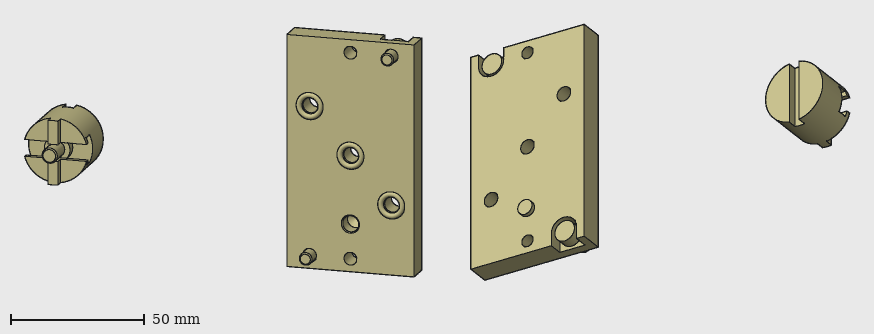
import cadquery as cq
import math

PLATE_WIDTH = 49.6
PLATE_THICKNESS = 10.1
PLATE_HEIGHT = 90.0

COLUMN_OFFSET = 15.9
END_ROW_OFFSET = 40.0
PORT_ROW_OFFSET = 18.0
END_HOLE_DIAMETER = 4.9
PORT_DIAMETER = 6.0

BLIND_HOLE_DROP = 26.5
BLIND_HOLE_DIAMETER = 6.2
BLIND_HOLE_DEPTH = 6.5
BLIND_HOLE_CHAMFER = 0.5
DRILL_POINT_ANGLE = 118
BOSS_DIAMETER = 6.2
BOSS_HEIGHT = 1.9

RING_OUTER_DIAMETER = 10.5
RING_SECTION_DIAMETER = 2.2
RING_PROTRUSION = 0.7

SCREW_DIAMETER = 4.9
SCREW_CLEARANCE_DIAMETER = 5.4
SCREW_HEAD_DIAMETER = 8.5
SCREW_HEAD_HEIGHT = 4.9
SCREW_HEAD_GAP = 0.6
SCREW_PROTRUSION = 5.5
SCREW_TIP_CHAMFER = 0.5
HEAD_SLOT_WIDTH = 11.0
HEAD_SLOT_DEPTH = 6.1

COUPLING_OFFSET = 107.4
COUPLING_DIAMETER = 25.0
COUPLING_GAP = 4.9
COUPLING_LENGTH = 20.1
KEY_WIDTH = 3.9
KEY_HEIGHT = 3.5
KEYWAY_WIDTH = 4.2
KEYWAY_DEPTH = 4.0
T_SLOT_NECK_WIDTH = 6.5
T_SLOT_NECK_DEPTH = 2.0
T_SLOT_HEAD_WIDTH = 10.5
T_SLOT_HEAD_DEPTH = 4.3

BOLT_DIAMETER = 6.0
BOLT_HEAD_DIAMETER = 10.0
BOLT_HEAD_HEIGHT = 3.6
BOLT_TIP = 33.0
BOLT_TIP_CHAMFER = 0.5

END_HOLE_POINTS = [(0, END_ROW_OFFSET), (0, -END_ROW_OFFSET)]
PORT_POINTS = [(-COLUMN_OFFSET, PORT_ROW_OFFSET), (0, 0), (COLUMN_OFFSET, -PORT_ROW_OFFSET)]
SCREW_POINTS = [(COLUMN_OFFSET, END_ROW_OFFSET), (-COLUMN_OFFSET, -END_ROW_OFFSET)]
SLOT_FLOOR = PLATE_THICKNESS - HEAD_SLOT_DEPTH
HEAD_UNDERSIDE = SLOT_FLOOR + SCREW_HEAD_GAP
RING_CENTRE_DEPTH = RING_SECTION_DIAMETER / 2 - RING_PROTRUSION
RING_RECESS_DEPTH = RING_CENTRE_DEPTH + RING_SECTION_DIAMETER / 2
COUPLING_BACK = -COUPLING_GAP
COUPLING_FRONT = COUPLING_BACK - COUPLING_LENGTH
T_SLOT_SEAT = COUPLING_FRONT + T_SLOT_NECK_DEPTH


def cylinder(x, z, diameter, y_start, y_end):
    """Cylinder along Y between two Y positions."""
    return cq.Workplane("XZ", origin=(x, y_end, z)).circle(diameter / 2).extrude(y_end - y_start)


def block(x, z, width, height, y_start, y_end):
    """Rectangular block centred on (x, z) between two Y positions."""
    return cq.Workplane("XZ", origin=(x, y_end, z)).rect(width, height).extrude(y_end - y_start)


def blind_hole(x, z):
    """Chamfered blind hole with a conical bottom, as a tool to cut from the front face."""
    radius = BLIND_HOLE_DIAMETER / 2
    mouth_radius = radius + BLIND_HOLE_CHAMFER
    apex_depth = BLIND_HOLE_DEPTH + radius / math.tan(math.radians(DRILL_POINT_ANGLE / 2))
    profile = [
        (0, 0),
        (mouth_radius, 0),
        (radius, BLIND_HOLE_CHAMFER),
        (radius, BLIND_HOLE_DEPTH),
        (0, apex_depth),
    ]
    tool = cq.Workplane("XY").polyline(profile).close().revolve(360, (0, 0), (0, 1))
    return tool.translate((x, 0, z))


def head_slot(x, z):
    """Slot with a round end that runs from a screw to the nearer Z edge of the plate."""
    edge_z = math.copysign(PLATE_HEIGHT / 2, z)
    round_end = cylinder(x, z, HEAD_SLOT_WIDTH, SLOT_FLOOR, PLATE_THICKNESS)
    open_end = block(x, (z + edge_z) / 2, HEAD_SLOT_WIDTH, abs(edge_z - z), SLOT_FLOOR, PLATE_THICKNESS)
    return round_end.union(open_end)


def make_plate():
    """Plate with its end holes, ports, ring recesses, screw holes, head slots, boss and blind hole."""
    plate = block(0, 0, PLATE_WIDTH, PLATE_HEIGHT, 0, PLATE_THICKNESS)
    for x, z in END_HOLE_POINTS:
        plate = plate.cut(cylinder(x, z, END_HOLE_DIAMETER, 0, PLATE_THICKNESS))
    for x, z in PORT_POINTS:
        plate = plate.cut(cylinder(x, z, PORT_DIAMETER, 0, PLATE_THICKNESS))
        plate = plate.cut(cylinder(x, z, RING_OUTER_DIAMETER, 0, RING_RECESS_DEPTH))
    for x, z in SCREW_POINTS:
        plate = plate.cut(cylinder(x, z, SCREW_CLEARANCE_DIAMETER, 0, PLATE_THICKNESS))
        plate = plate.cut(head_slot(x, z))
    boss_back = PLATE_THICKNESS + BOSS_HEIGHT
    plate = plate.union(cylinder(0, -BLIND_HOLE_DROP, BOSS_DIAMETER, PLATE_THICKNESS, boss_back))
    return plate.cut(blind_hole(0, -BLIND_HOLE_DROP))


def make_ring(x, z):
    """Sealing ring of round section around a port."""
    path_radius = (RING_OUTER_DIAMETER - RING_SECTION_DIAMETER) / 2
    section = cq.Workplane("XY").center(path_radius, RING_CENTRE_DEPTH).circle(RING_SECTION_DIAMETER / 2)
    ring = section.revolve(360, (-path_radius, 0), (-path_radius, 1))
    return ring.translate((x, 0, z))


def make_screw(x, z):
    """Cylinder-head screw with its head at the back and its tip in front of the plate."""
    head = cylinder(x, z, SCREW_HEAD_DIAMETER, HEAD_UNDERSIDE, HEAD_UNDERSIDE + SCREW_HEAD_HEIGHT)
    shank = cylinder(x, z, SCREW_DIAMETER, -SCREW_PROTRUSION, HEAD_UNDERSIDE)
    shank = shank.faces("<Y").chamfer(SCREW_TIP_CHAMFER)
    return head.union(shank)


def make_coupling_block():
    """Round block with its key, keyway and T-slot."""
    x = -COUPLING_OFFSET
    size = COUPLING_DIAMETER
    key_front = COUPLING_FRONT - KEY_HEIGHT
    full_round = cylinder(x, 0, size, key_front, COUPLING_BACK)
    key_zone = block(x, 0, KEY_WIDTH, size, key_front, COUPLING_FRONT)
    body_zone = block(x, 0, size, size, COUPLING_FRONT, COUPLING_BACK)
    outline = full_round.intersect(body_zone.union(key_zone))
    keyway = block(x, 0, KEYWAY_WIDTH, size, COUPLING_BACK - KEYWAY_DEPTH, COUPLING_BACK)
    neck = block(x, 0, size, T_SLOT_NECK_WIDTH, key_front, T_SLOT_SEAT)
    head = block(x, 0, size, T_SLOT_HEAD_WIDTH, T_SLOT_SEAT, T_SLOT_SEAT + T_SLOT_HEAD_DEPTH)
    return outline.cut(keyway).cut(neck).cut(head)


def make_bolt():
    """Bolt whose head is joined to the inner faces of the T-slot lips."""
    x = -COUPLING_OFFSET
    head = cylinder(x, 0, BOLT_HEAD_DIAMETER, T_SLOT_SEAT, T_SLOT_SEAT + BOLT_HEAD_HEIGHT)
    shank = cylinder(x, 0, BOLT_DIAMETER, -BOLT_TIP, T_SLOT_SEAT)
    shank = shank.faces("<Y").chamfer(BOLT_TIP_CHAMFER)
    return head.union(shank)


def make_coupling():
    return make_coupling_block().union(make_bolt())


plate = make_plate()
rings = [make_ring(x, z) for x, z in PORT_POINTS]
screws = [make_screw(x, z) for x, z in SCREW_POINTS]
coupling = make_coupling()

result = cq.Compound.makeCompound(
    [
        plate.val(),
        *[ring.val() for ring in rings],
        *[screw.val() for screw in screws],
        coupling.val(),
    ]
)